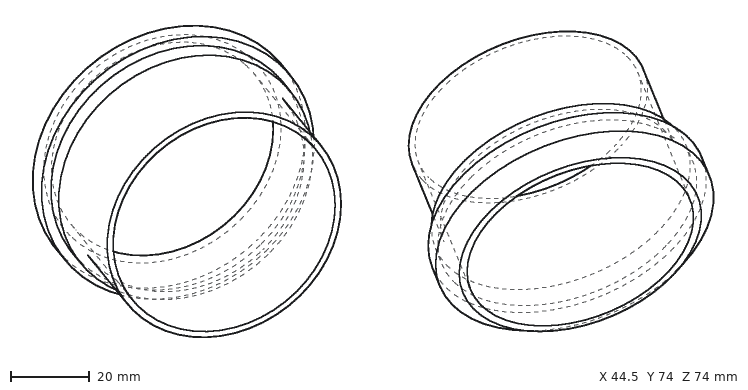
import cadquery as cq
import math

total_length = 44.45

bore_diameter = 60.2
tube_diameter = 63.5
step_diameter = 68.83
collar_diameter = 73.965

collar_end = 11.18
step_end = 16.76
collar_chamfer = 4.78
root_fillet = 1.1

bore_radius = bore_diameter / 2
tube_radius = tube_diameter / 2
step_radius = step_diameter / 2
collar_radius = collar_diameter / 2


def make_ferrule():
    """Revolve the half section (axial position, radius) about the X axis."""
    fillet_centre = (step_end + root_fillet, tube_radius + root_fillet)
    diagonal_offset = root_fillet * math.sqrt(0.5)
    fillet_middle = (
        fillet_centre[0] - diagonal_offset,
        fillet_centre[1] - diagonal_offset,
    )
    section = (
        cq.Workplane("XY")
        .moveTo(0, bore_radius)
        .lineTo(0, collar_radius - collar_chamfer)
        .lineTo(collar_chamfer, collar_radius)
        .lineTo(collar_end, collar_radius)
        .lineTo(collar_end, step_radius)
        .lineTo(step_end, step_radius)
        .lineTo(step_end, fillet_centre[1])
        .threePointArc(fillet_middle, (fillet_centre[0], tube_radius))
        .lineTo(total_length, tube_radius)
        .lineTo(total_length, bore_radius)
        .close()
    )
    return section.revolve(360, (0, 0, 0), (1, 0, 0))


result = make_ferrule()